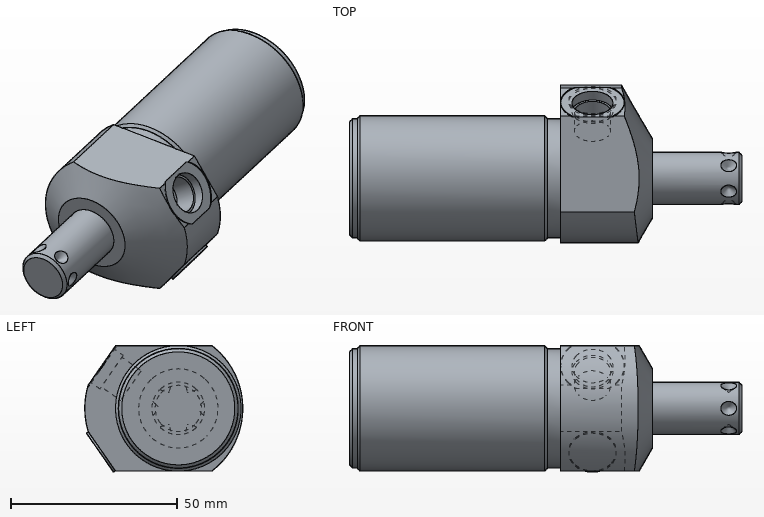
import cadquery as cq
import math

total_length = 118.1
body_radius = 18.9
end_radius = 18.0
end_length = 2.4
end_chamfer = 1.0
body_chamfer = 0.8
groove_radius = 18.0
groove_start = 59.5

head_start = 63.5
head_end = 91.2
head_width = 47.6
head_radius = head_width / 2
head_offset = 4.4
head_half_height = body_radius
cone_end_radius = 11.9
cone_slope = math.tan(math.radians(60))

flat_outer_z = 7.0
port_x = 73.1
port_seat_diameter = 19.1
port_seat_depth = 0.4
port_bore_diameter = 12.3
port_bore_depth = 3.5
port_core_diameter = 10.9
port_core_depth = 10.6
plug_diameter = 14.3
plug_height = 0.7

rod_radius = 7.9
rod_chamfer = 1.0
dimple_count = 6
dimple_x = 114.1
dimple_radius = 2.4


def x_cylinder(start, end, radius):
    return cq.Workplane("YZ", origin=(start, 0, 0)).circle(radius).extrude(end - start)


def outline_y(z):
    """Y of the head's round outline, on its +Y side, at height z."""
    return head_offset + math.sqrt(head_radius**2 - z**2)


def make_body():
    end = x_cylinder(0, end_length, end_radius).faces("<X").chamfer(end_chamfer)
    barrel = x_cylinder(end_length, groove_start, body_radius)
    barrel = barrel.faces("<X or >X").edges().chamfer(body_chamfer)
    groove = x_cylinder(groove_start, head_start, groove_radius)
    return end.union(barrel).union(groove)


def make_head():
    corner_y = outline_y(head_half_height)
    flat_y = outline_y(flat_outer_z)
    far_y = 2 * head_offset - corner_y
    prism = (
        cq.Workplane("YZ", origin=(head_start, 0, 0))
        .moveTo(far_y, head_half_height)
        .lineTo(corner_y, head_half_height)
        .lineTo(flat_y, flat_outer_z)
        .threePointArc((head_offset + head_radius, 0), (flat_y, -flat_outer_z))
        .lineTo(corner_y, -head_half_height)
        .lineTo(far_y, -head_half_height)
        .threePointArc((head_offset - head_radius, 0), (far_y, head_half_height))
        .close()
        .extrude(head_end - head_start)
    )
    cone_start_radius = cone_end_radius + cone_slope * (head_end - head_start)
    cone = cq.Solid.makeCone(
        cone_start_radius, cone_end_radius, head_end - head_start,
        cq.Vector(head_start, 0, 0), cq.Vector(1, 0, 0),
    )
    return prism.intersect(cq.Workplane(cone))


def flat_plane(side):
    """Plane on the upper (side = 1) or lower (side = -1) slanted flat, facing outwards."""
    inner_y = outline_y(head_half_height)
    outer_y = outline_y(flat_outer_z)
    center_z = side * (head_half_height + flat_outer_z) / 2
    normal = (0, head_half_height - flat_outer_z, side * (outer_y - inner_y))
    return cq.Plane(origin=(port_x, (inner_y + outer_y) / 2, center_z), xDir=(1, 0, 0), normal=normal)


def make_port():
    face = cq.Workplane(flat_plane(1))
    seat = face.circle(port_seat_diameter / 2).extrude(-port_seat_depth)
    bore = face.circle(port_bore_diameter / 2).extrude(-port_bore_depth)
    core = face.circle(port_core_diameter / 2).extrude(-port_core_depth)
    return seat.union(bore).union(core)


def make_plug():
    embedded_depth = 1.2
    face = cq.Workplane(flat_plane(-1)).workplane(offset=-embedded_depth)
    return face.circle(plug_diameter / 2).extrude(embedded_depth + plug_height)


def make_rod():
    rod = x_cylinder(head_end, total_length, rod_radius).faces(">X").chamfer(rod_chamfer)
    cone_mouth = 2 * dimple_radius
    for index in range(dimple_count):
        angle = 2 * math.pi * index / dimple_count
        outward = cq.Vector(0, math.cos(angle), math.sin(angle))
        apex = cq.Vector(dimple_x, 0, 0) + outward * (rod_radius - dimple_radius)
        dimple = cq.Solid.makeCone(0, cone_mouth, cone_mouth, apex, outward)
        rod = rod.cut(cq.Workplane(dimple))
    return rod


head = make_head().cut(make_port()).union(make_plug())
result = make_body().union(head).union(make_rod())